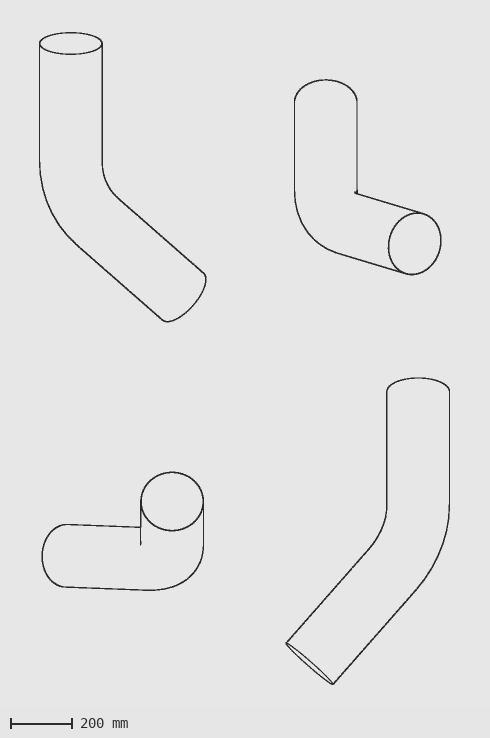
import cadquery as cq
import math

total_height = 981.0
outer_diameter = 203.0
inner_diameter = 199.0
bend_radius = 305.0
bend_angle = 45.0

outer_radius = outer_diameter / 2
bend_sine = math.sin(math.radians(bend_angle))
leg_length = (total_height - (bend_radius + outer_radius) * bend_sine) / (1 + bend_sine)

bend_axis_start = (0, bend_radius, 0)
bend_axis_end = (1, bend_radius, 0)


def pipe_section():
    """Ring-shaped pipe wall section at the top of the bend."""
    return cq.Workplane("XY").circle(outer_radius).circle(inner_diameter / 2)


upper_leg = pipe_section().extrude(leg_length)

elbow = pipe_section().revolve(bend_angle, bend_axis_start, bend_axis_end)

lower_leg = pipe_section().extrude(-leg_length).rotate(bend_axis_start, bend_axis_end, bend_angle)

result = upper_leg.union(elbow).union(lower_leg)